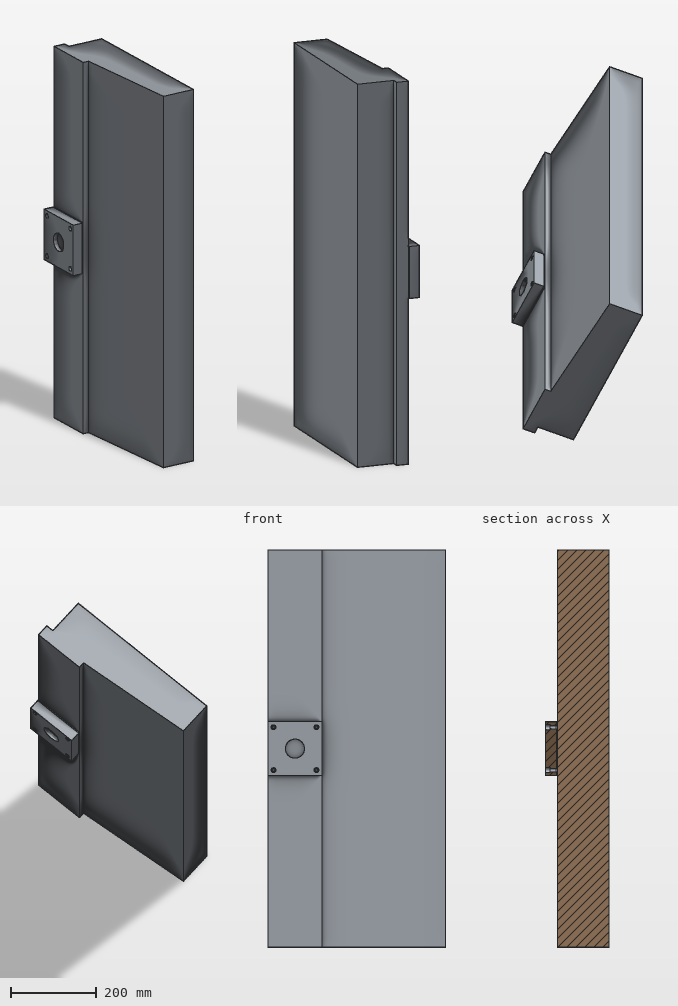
import cadquery as cq

PANEL_WIDTH = 414.0
PANEL_HEIGHT = 926.0
LEDGE_WIDTH = 126.0
LEDGE_FRONT = 120.0
SIDE_STEP_WIDTH = 18.5
SIDE_STEP_DEPTH = 91.0
TAPER_DEEP = 106.0
TAPER_SHALLOW = 83.0

TOTAL_DEPTH = 148.0
PLATE_SIDE = LEDGE_WIDTH
SPACER_THICKNESS = 3.0
PLATE_THICKNESS = TOTAL_DEPTH - LEDGE_FRONT - SPACER_THICKNESS
BORE_DIAMETER = 44.0
BORE_DEPTH = 11.0
BOLT_HOLE_DIAMETER = 7.0
BOLT_HEAD_DIAMETER = 11.0
BOLT_HEAD_DEPTH = 11.0
BOLT_SPACING = 100.0
PLATE_CENTRE_X = LEDGE_WIDTH / 2
PLATE_CENTRE_Z = PANEL_HEIGHT / 2


def make_panel():
    outline = [
        (SIDE_STEP_WIDTH, 0),
        (PANEL_WIDTH, 0),
        (PANEL_WIDTH, -TAPER_SHALLOW),
        (LEDGE_WIDTH, -TAPER_DEEP),
        (LEDGE_WIDTH, -LEDGE_FRONT),
        (0, -LEDGE_FRONT),
        (0, -SIDE_STEP_DEPTH),
        (SIDE_STEP_WIDTH, -SIDE_STEP_DEPTH),
    ]
    return cq.Workplane("XY").polyline(outline).close().extrude(PANEL_HEIGHT)


def make_square_sheet(back_depth, thickness):
    """Square sheet whose back face lies at the given depth."""
    workplane = cq.Workplane("XZ", origin=(PLATE_CENTRE_X, -back_depth, PLATE_CENTRE_Z))
    return workplane.rect(PLATE_SIDE, PLATE_SIDE).extrude(thickness)


def bolt_positions(sheet):
    """Points at the four corner bolts, on the front face of a sheet."""
    return (
        sheet.faces("<Y")
        .workplane(centerOption="CenterOfBoundBox")
        .rect(BOLT_SPACING, BOLT_SPACING, forConstruction=True)
        .vertices()
    )


def make_spacer():
    spacer = make_square_sheet(LEDGE_FRONT, SPACER_THICKNESS)
    return bolt_positions(spacer).hole(BOLT_HOLE_DIAMETER)


def make_plate():
    plate = make_square_sheet(LEDGE_FRONT + SPACER_THICKNESS, PLATE_THICKNESS)
    plate = plate.faces("<Y").workplane(centerOption="CenterOfBoundBox").hole(BORE_DIAMETER, BORE_DEPTH)
    return bolt_positions(plate).cboreHole(BOLT_HOLE_DIAMETER, BOLT_HEAD_DIAMETER, BOLT_HEAD_DEPTH)


panel = make_panel()
spacer = make_spacer()
plate = make_plate()

result = cq.Compound.makeCompound([panel.val(), spacer.val(), plate.val()])